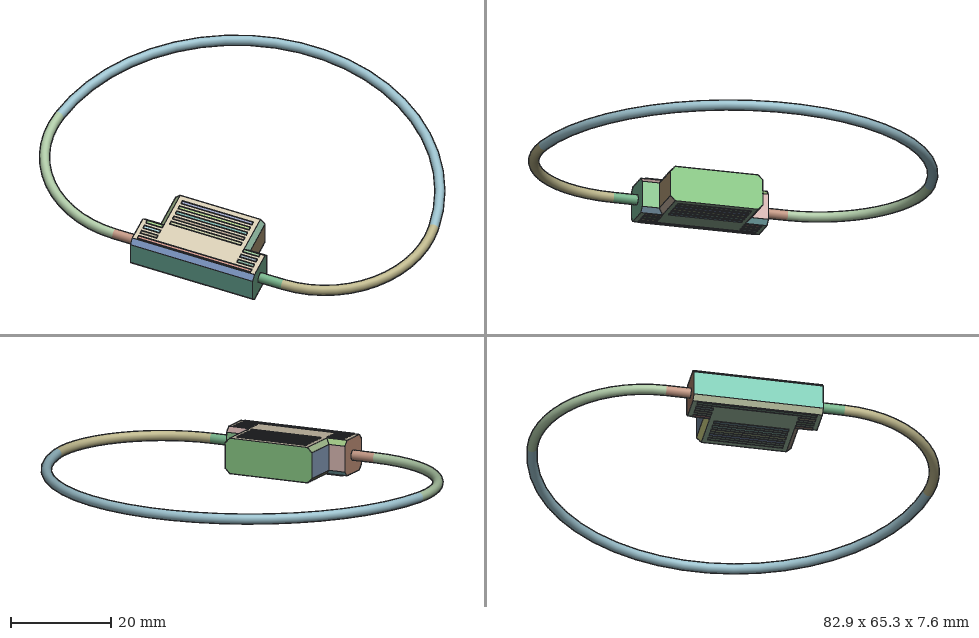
import cadquery as cq
import math

overall_width = 82.9
overall_depth = 65.25
overall_height = 7.6

bar_width = 26.3
bar_depth = 7.55
stem_width = 19.2
housing_depth = 15.25
chamfer = 1.0

rib_height = 0.2
rib_width = 0.75
rib_pitch = 1.5
rib_side_margin = 1.0
first_rib_gap = 0.25
bar_rib_rows = 3
stem_rib_rows = 5

cable_diameter = 2.1
cable_lead = 5.0

body_height = overall_height - 2 * rib_height
stem_flat_width = stem_width - 2 * chamfer
bar_rib_end = bar_width / 2 - rib_side_margin
bar_rib_start = stem_flat_width / 2
stem_rib_length = stem_flat_width - 2 * rib_side_margin


def make_body():
    """Bar and stem, each with its four long edges chamfered."""
    bar = (
        cq.Workplane("XY")
        .box(bar_width, bar_depth, body_height, centered=(True, False, True))
        .edges("|X")
        .chamfer(chamfer)
    )
    stem_start = bar_depth / 2
    stem = (
        cq.Workplane("XY")
        .box(stem_width, housing_depth - stem_start, body_height, centered=(True, False, True))
        .edges("|Y")
        .chamfer(chamfer)
        .translate((0, stem_start, 0))
    )
    return bar.union(stem)


def make_rib(length, center_x, row):
    """One rib, reaching through the body so that it stands out above and below."""
    center_y = chamfer + first_rib_gap + rib_width / 2 + row * rib_pitch
    return cq.Workplane("XY").box(length, rib_width, overall_height).translate((center_x, center_y, 0))


def make_housing():
    housing = make_body()
    housing = housing.union(make_rib(2 * bar_rib_end, 0, 0))

    bar_rib_length = bar_rib_end - bar_rib_start
    bar_rib_center = (bar_rib_end + bar_rib_start) / 2
    for row in range(1, 1 + bar_rib_rows):
        for side in (-1, 1):
            housing = housing.union(make_rib(bar_rib_length, side * bar_rib_center, row))

    first_stem_row = 1 + bar_rib_rows
    for row in range(first_stem_row, first_stem_row + stem_rib_rows):
        housing = housing.union(make_rib(stem_rib_length, 0, row))
    return housing


def make_cable():
    """Round cable looping from one end face of the bar to the other."""
    cable_radius = cable_diameter / 2
    start_x = bar_width / 2
    start_y = bar_depth / 2

    bend_x = start_x + cable_lead
    bend_radius = overall_width / 2 - cable_radius - bend_x
    bend_y = start_y + bend_radius

    rear_y = overall_depth - cable_radius
    rear_reach = rear_y - bend_y - bend_radius
    arc_offset = (bend_x**2 - rear_reach**2) / (2 * rear_reach)
    tangent_angle = math.atan2(arc_offset, bend_x)

    bend_end_x = bend_x + bend_radius * math.cos(tangent_angle)
    bend_end_y = bend_y + bend_radius * math.sin(tangent_angle)
    mid_angle = (tangent_angle - math.pi / 2) / 2
    bend_mid_x = bend_x + bend_radius * math.cos(mid_angle)
    bend_mid_y = bend_y + bend_radius * math.sin(mid_angle)

    path = (
        cq.Workplane("XY")
        .moveTo(start_x, start_y)
        .lineTo(bend_x, start_y)
        .threePointArc((bend_mid_x, bend_mid_y), (bend_end_x, bend_end_y))
        .threePointArc((0, rear_y), (-bend_end_x, bend_end_y))
        .threePointArc((-bend_mid_x, bend_mid_y), (-bend_x, start_y))
        .lineTo(-start_x, start_y)
    )
    return cq.Workplane("YZ", origin=(start_x, start_y, 0)).circle(cable_radius).sweep(path)


housing = make_housing()
cable = make_cable()

result = cq.Compound.makeCompound([housing.solids().val(), cable.val()])